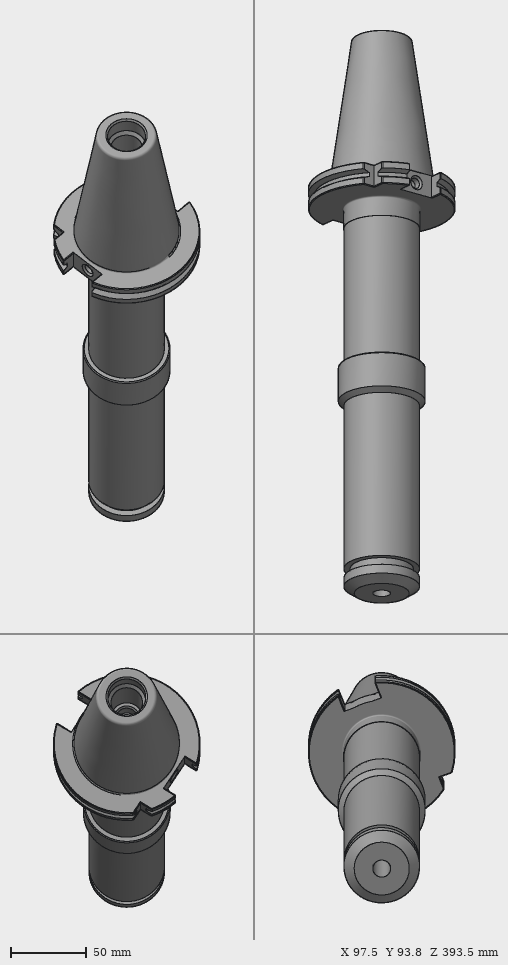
import cadquery as cq
import math

total_length = 393.5
gauge_height = 291.0
neck_height = 2.0
flange_thickness = 15.7
shank_step_height = 259.5
collar_top = 161.0
collar_height = 27.5
collar_top_chamfer = 0.8
collar_bottom_chamfer = 3.0
ring_groove_bottom = 11.0
ring_groove_width = 6.3
nose_chamfer_height = 4.7

taper_large_diameter = 70.0
taper_ratio = 7 / 24
flange_diameter = 97.5
shank_top_diameter = 50.8
shank_diameter = 50.5
collar_diameter = 58.0
ring_groove_diameter = 42.0
nose_diameter = 36.5
taper_tip_fillet = 2.0
flange_root_fillet = 1.0

groove_offset = 10.0
groove_depth = 3.5
groove_root_width = 2.8
groove_flank_angle = 27
flange_edge_chamfer = 0.6

mouth_diameter = 27.5
socket_diameter = 25.0
socket_depth = 11.5
thread_diameter = 21.0
thread_depth = 47.2
coolant_entry_diameter = 16.5
coolant_diameter = 14.0
coolant_depth = 59
through_diameter = 12.0

slot_width = 25.5
front_slot_distance = 37.5
rear_slot_distance = 35.5
notch_distance = 30.0
radial_hole_diameter = 7.0
radial_hole_mouth_diameter = 10.0
radial_hole_depth = 6.0
drill_tip_angle = 118

flange_top = gauge_height - neck_height
flange_bottom = flange_top - flange_thickness
flange_middle = flange_top - flange_thickness / 2
groove_height = gauge_height - groove_offset
taper_small_diameter = taper_large_diameter - (total_length - gauge_height) * taper_ratio
collar_bottom = collar_top - collar_height
ring_groove_top = ring_groove_bottom + ring_groove_width


def revolve_about_z(profile):
    return profile.close().revolve(360, (0, 0), (0, 1))


def holder_body():
    """Taper, neck, shank, collar and nose in one turned outline."""
    shank_radius = shank_diameter / 2
    shank_top_radius = shank_top_diameter / 2
    groove_radius = ring_groove_diameter / 2
    collar_radius = collar_diameter / 2
    taper_radius = taper_large_diameter / 2
    fillet = flange_root_fillet
    profile = (
        cq.Workplane("XZ")
        .lineTo(nose_diameter / 2, 0)
        .lineTo(shank_radius, nose_chamfer_height)
        .lineTo(shank_radius, ring_groove_bottom)
        .lineTo(groove_radius, ring_groove_bottom)
        .lineTo(groove_radius, ring_groove_top)
        .lineTo(shank_radius, ring_groove_top)
        .lineTo(shank_radius, collar_bottom)
        .lineTo(collar_radius, collar_bottom + collar_bottom_chamfer)
        .lineTo(collar_radius, collar_top - collar_top_chamfer)
        .lineTo(collar_radius - collar_top_chamfer, collar_top)
        .lineTo(shank_radius, collar_top)
        .lineTo(shank_radius, shank_step_height)
        .lineTo(shank_top_radius, shank_step_height)
        .lineTo(shank_top_radius, flange_bottom - fillet)
        .radiusArc((shank_top_radius + fillet, flange_bottom), fillet)
        .lineTo(taper_radius + fillet, flange_bottom)
        .lineTo(taper_radius + fillet, flange_top)
        .radiusArc((taper_radius, flange_top + fillet), fillet)
        .lineTo(taper_radius, gauge_height)
        .lineTo(taper_small_diameter / 2, total_length)
        .lineTo(0, total_length)
    )
    return revolve_about_z(profile).faces(">Z").edges().fillet(taper_tip_fillet)


def gripper_groove():
    """Ring with a V-shaped section, reaching past the flange rim."""
    rim_radius = flange_diameter / 2
    root_radius = rim_radius - groove_depth
    outer_radius = rim_radius + groove_depth
    root_half = groove_root_width / 2
    outer_half = root_half + (outer_radius - root_radius) * math.tan(math.radians(groove_flank_angle))
    profile = (
        cq.Workplane("XZ")
        .moveTo(root_radius, groove_height - root_half)
        .lineTo(outer_radius, groove_height - outer_half)
        .lineTo(outer_radius, groove_height + outer_half)
        .lineTo(root_radius, groove_height + root_half)
    )
    return revolve_about_z(profile)


def flange_cutter(x_min, x_max, y_min, y_max):
    """Block through the full flange thickness."""
    block = cq.Workplane("XY", origin=(x_min, y_min, flange_bottom))
    return block.box(x_max - x_min, y_max - y_min, flange_thickness, centered=False)


def shared_by(edge, others):
    """Whether an edge also belongs to another set of faces, as inside corners do."""
    return any(edge.isSame(other) for other in others)


def flange():
    """Grooved disc with two drive slots and a corner notch, chamfered except along the slot floors."""
    reach = flange_diameter / 2
    half_slot = slot_width / 2
    disc = (
        cq.Workplane("XY", origin=(0, 0, flange_bottom))
        .circle(reach)
        .extrude(flange_thickness)
        .cut(flange_cutter(-half_slot, half_slot, -reach, -front_slot_distance))
        .cut(flange_cutter(-half_slot, half_slot, rear_slot_distance, reach))
        .cut(flange_cutter(-reach, -notch_distance, -reach, -notch_distance))
    )
    rim_edges = disc.edges("%CIRCLE").vals()
    side_edges = disc.faces("|X").edges().vals()
    cross_edges = disc.faces("|Y").edges().vals()
    notch_edges = disc.faces("|Y").faces(">Y[1]").edges().vals()
    outer_edges = (
        rim_edges
        + [edge for edge in side_edges if not shared_by(edge, cross_edges)]
        + [edge for edge in notch_edges if not shared_by(edge, side_edges)]
    )
    return disc.newObject(outer_edges).chamfer(flange_edge_chamfer).cut(gripper_groove())


def bore():
    """Chamfered socket, cone, thread bore and a countersunk coolant bore narrowing to the through hole."""
    thread_floor = total_length - thread_depth
    mouth_height = (mouth_diameter - socket_diameter) / 2
    cone_height = (socket_diameter - thread_diameter) / 2
    entry_height = (coolant_entry_diameter - coolant_diameter) / 2
    profile = (
        cq.Workplane("XZ")
        .lineTo(through_diameter / 2, 0)
        .lineTo(through_diameter / 2, total_length - coolant_depth)
        .lineTo(coolant_diameter / 2, total_length - coolant_depth)
        .lineTo(coolant_diameter / 2, thread_floor - entry_height)
        .lineTo(coolant_entry_diameter / 2, thread_floor)
        .lineTo(thread_diameter / 2, thread_floor)
        .lineTo(thread_diameter / 2, total_length - socket_depth - cone_height)
        .lineTo(socket_diameter / 2, total_length - socket_depth)
        .lineTo(socket_diameter / 2, total_length - mouth_height)
        .lineTo(mouth_diameter / 2, total_length)
        .lineTo(0, total_length)
    )
    return revolve_about_z(profile)


def radial_hole():
    """Countersunk blind hole with a drill tip, running from the front slot floor toward the axis."""
    radius = radial_hole_diameter / 2
    mouth_radius = radial_hole_mouth_diameter / 2
    tip_length = radius / math.tan(math.radians(drill_tip_angle / 2))
    profile = (
        cq.Workplane("XY", origin=(0, -front_slot_distance, flange_middle))
        .lineTo(mouth_radius, 0)
        .lineTo(radius, mouth_radius - radius)
        .lineTo(radius, radial_hole_depth)
        .lineTo(0, radial_hole_depth + tip_length)
    )
    return revolve_about_z(profile)


result = holder_body().union(flange()).cut(bore()).cut(radial_hole())